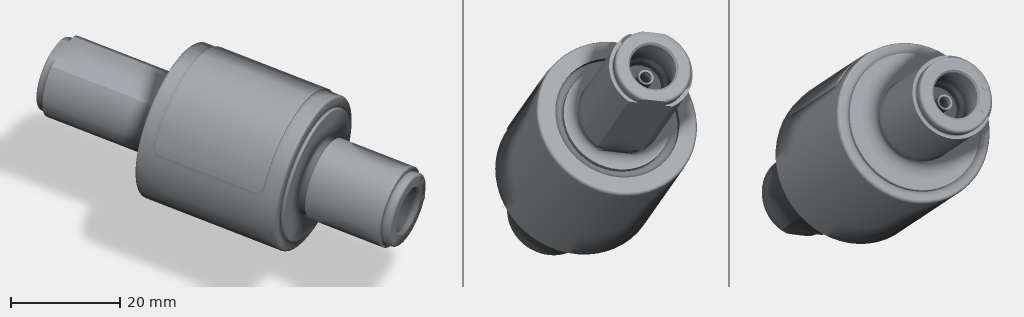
import cadquery as cq
import math


housing_radius = 15.24
housing_start = 24.73
housing_length = 29.06
housing_fillet = 0.5
housing_bore_radius = 11.8
housing_end = housing_start + housing_length
joint_plane = housing_start + housing_length / 2

label_thickness = 0.25
label_length = 22.4
label_bottom_z = 6.3
label_corner_radius = 1.4

thread_radius = 7.9375
relief_radius = 7.2
tip_relief_length = 1.8
tip_fillet = 0.5
root_fillet = 0.6
rotor_thread_end = 23.05
stator_thread_start = 56.15
overall_length = 73.41
pad_height = 0.1
stator_tip = overall_length - pad_height

entry_radius = 4.75
socket_radius = 4.37
throat_radius = 3.97
insulator_radius = 3.5
entry_chamfer = entry_radius - socket_radius
taper_start = 6.5
taper_end = 7.5
shoulder_depth = 9.1
contact_radius = 1.45
contact_depth = 5.2
contact_hole_radius = 1.1
contact_hole_depth = 4.5
drill_point_angle = 118
drill_tip_depth = contact_hole_radius / math.tan(math.radians(drill_point_angle / 2))

hub_radius = 10.1
hub_recess = 0.25
hub_face = housing_start + hub_recess
bearing_recess = 1.25
flat_half_height = 6.75

flange_radius = 13.08
flange_thickness = 0.65
flange_fillet = 0.2
flange_face = housing_end + flange_thickness

pad_radius = 0.65
pad_y = 5.75
pad_z = 2.25


def cylinder(radius, start, end):
    """Solid cylinder on the X axis between two X positions."""
    return cq.Workplane("YZ").workplane(offset=start).circle(radius).extrude(end - start)


def turned(profile):
    """Revolve a closed (x, radius) sketch about the X axis."""
    return profile.close().revolve(360, (0, 0, 0), (1, 0, 0))


def jack(tip, thread_near_tip, thread_root, face, hub_edge, hub_end):
    """Turned jack body from its tip to the end of its hub, with a bore; works in either X direction."""
    inward = math.copysign(1, hub_end - tip)
    body = turned(
        cq.Workplane("XY")
        .moveTo(tip, 0)
        .lineTo(tip, relief_radius - tip_fillet)
        .radiusArc((tip + inward * tip_fillet, relief_radius), inward * tip_fillet)
        .lineTo(thread_near_tip, relief_radius)
        .lineTo(thread_near_tip, thread_radius)
        .lineTo(thread_root, thread_radius)
        .lineTo(thread_root, relief_radius)
        .lineTo(face - inward * root_fillet, relief_radius)
        .radiusArc((face, relief_radius + root_fillet), -inward * root_fillet)
        .lineTo(face, hub_edge)
        .lineTo(hub_end, hub_edge)
        .lineTo(hub_end, 0)
    )
    bore = turned(
        cq.Workplane("XY")
        .moveTo(tip, 0)
        .lineTo(tip, entry_radius)
        .lineTo(tip + inward * entry_chamfer, socket_radius)
        .lineTo(tip + inward * taper_start, socket_radius)
        .lineTo(tip + inward * taper_end, throat_radius)
        .lineTo(tip + inward * shoulder_depth, throat_radius)
        .lineTo(tip + inward * shoulder_depth, insulator_radius)
        .lineTo(hub_end, insulator_radius)
        .lineTo(hub_end, 0)
    )
    return body.cut(bore)


def make_housing():
    body = cylinder(housing_radius, housing_start, housing_end)
    body = body.faces("<X or >X").edges().fillet(housing_fillet)
    return body.cut(cylinder(housing_bore_radius, housing_start, housing_end))


def make_label():
    outer_radius = housing_radius + label_thickness
    start = joint_plane - label_length / 2
    end = joint_plane + label_length / 2
    sleeve = cylinder(outer_radius, start, end).cut(cylinder(housing_radius, start, end))
    outline = (
        cq.Workplane("XY", origin=(joint_plane, 0, label_bottom_z))
        .box(label_length, 2 * outer_radius, outer_radius, centered=(True, True, False))
        .edges("|Y and <Z")
        .fillet(label_corner_radius)
    )
    return sleeve.intersect(outline)


def make_rotor():
    body = jack(0, tip_relief_length, rotor_thread_end, hub_face, hub_radius, joint_plane)
    flat_depth = thread_radius - flat_half_height
    for side in (1, -1):
        waste_center = (hub_face / 2, 0, side * (flat_half_height + flat_depth / 2))
        waste = cq.Workplane("XY").box(hub_face, 2 * thread_radius, flat_depth)
        body = body.cut(waste.translate(waste_center))
    return body


def make_bearing():
    start = housing_start + bearing_recess
    return cylinder(housing_bore_radius, start, joint_plane).cut(cylinder(hub_radius, start, joint_plane))


def make_stator():
    thread_end = stator_tip - tip_relief_length
    body = jack(stator_tip, thread_end, stator_thread_start, flange_face, housing_bore_radius, joint_plane)
    flange = cylinder(flange_radius, housing_end, flange_face)
    flange = flange.faces(">X").edges().fillet(flange_fillet)
    flange = flange.cut(cylinder(housing_bore_radius, housing_end, flange_face))
    body = body.union(flange)
    pads = (
        cq.Workplane("YZ")
        .workplane(offset=stator_tip)
        .pushPoints([(pad_y, pad_z), (pad_y, -pad_z)])
        .circle(pad_radius)
        .extrude(pad_height)
    )
    return body.union(pads)


def make_insulator(tip, inward):
    face = tip + inward * shoulder_depth
    start = min(face, joint_plane)
    end = max(face, joint_plane)
    return cylinder(insulator_radius, start, end).cut(cylinder(contact_radius, start, end))


def make_contact(tip, inward):
    face = tip + inward * contact_depth
    hole_bottom = face + inward * contact_hole_depth
    return turned(
        cq.Workplane("XY")
        .moveTo(face, contact_hole_radius)
        .lineTo(face, contact_radius)
        .lineTo(joint_plane, contact_radius)
        .lineTo(joint_plane, 0)
        .lineTo(hole_bottom + inward * drill_tip_depth, 0)
        .lineTo(hole_bottom, contact_hole_radius)
    )


bodies = [make_housing(), make_label(), make_rotor(), make_bearing(), make_stator()]
for jack_tip, inward_direction in ((0, 1), (stator_tip, -1)):
    bodies.append(make_insulator(jack_tip, inward_direction))
    bodies.append(make_contact(jack_tip, inward_direction))

result = cq.Compound.makeCompound([body.val() for body in bodies])